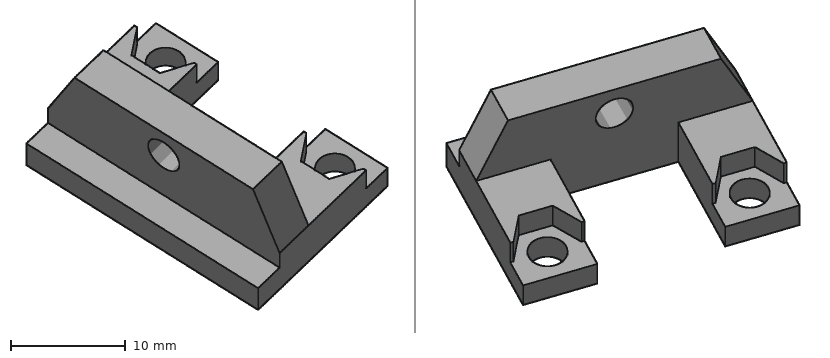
import cadquery as cq

length = 26.0
depth = 18.0
height = 11.5

ledge_depth = 3.0
ledge_height = 3.0
wall_thickness = 4.0
wall_back = ledge_depth + wall_thickness
shoulder_height = 5.0
corner_run = 3.0

arm_width = 7.0
arm_height = shoulder_height
pad_depth = 3.0
pad_height = 2.5

hole_diameter = 3.5
wall_hole_height = 8.5
nut_across_corners = 6.4

pad_front = depth - pad_depth
arm_offset = (length - arm_width) / 2


def block(x_center, y_front, y_back, z_top):
    """Box standing on the base plane between two depths."""
    size_y = y_back - y_front
    return (
        cq.Workplane("XY")
        .box(arm_width, size_y, z_top, centered=(True, False, False))
        .translate((x_center, y_front, 0))
    )


def make_ledge():
    return cq.Workplane("XY").box(length, wall_back, ledge_height, centered=(True, False, False))


def make_wall():
    """Upright wall with sloped upper corners and a central through hole."""
    half = length / 2
    outline = [
        (-half, 0),
        (half, 0),
        (half, shoulder_height),
        (half - corner_run, height),
        (corner_run - half, height),
        (-half, shoulder_height),
    ]
    wall = cq.Workplane("XZ", origin=(0, ledge_depth, 0)).polyline(outline).close().extrude(-wall_thickness)
    hole = (
        cq.Workplane("XZ", origin=(0, ledge_depth, 0))
        .center(0, wall_hole_height)
        .circle(hole_diameter / 2)
        .extrude(-wall_thickness)
    )
    return wall.cut(hole)


def make_arm(x_center):
    """Arm with a nut seat level with its pad and a vertical screw hole."""
    arm = block(x_center, wall_back, pad_front, arm_height)
    arm = arm.union(block(x_center, pad_front, depth, pad_height))
    nut_seat = (
        cq.Workplane("XY", origin=(x_center, pad_front, pad_height))
        .polygon(6, nut_across_corners)
        .extrude(arm_height - pad_height)
    )
    hole = cq.Workplane("XY", origin=(x_center, pad_front, 0)).circle(hole_diameter / 2).extrude(arm_height)
    return arm.cut(nut_seat).cut(hole)


result = make_ledge().union(make_wall())
for side in (-1, 1):
    result = result.union(make_arm(side * arm_offset))